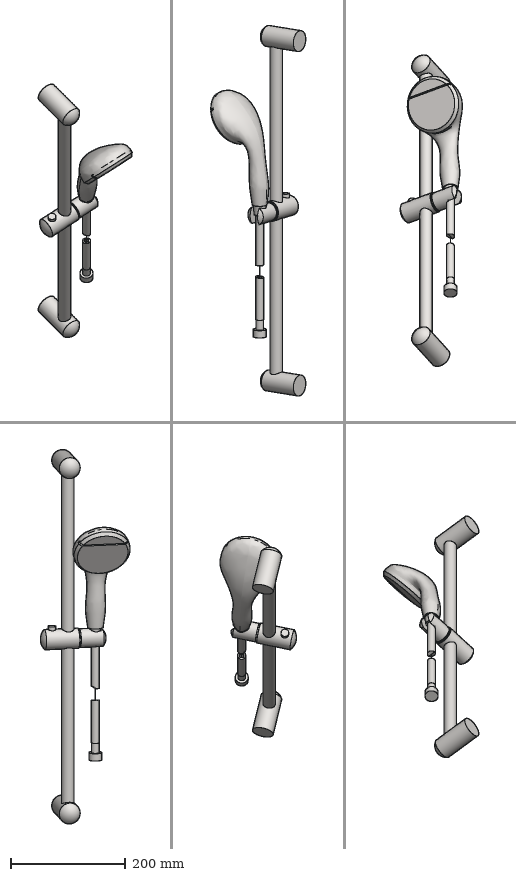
import cadquery as cq
import math

total_height = 657.5
rail_diameter = 22.5
post_diameter = 37.5
wall_x = -50.5
post_dome_start_x = 18.5
post_tip_x = 29.5
post_heights = (post_diameter / 2, total_height - post_diameter / 2)

slider_z = 329.0
slider_diameter = 36.0
slider_front_y = -41.5
slider_tip_y = -48.5
holder_end_y = 62.0
holder_tip_y = 68.5
groove_y = 20.0
groove_width = 2.5
groove_diameter = 31.5
holder_diameter = 33.5
knob_y = -28.0
knob_diameter = 14.0
knob_top_z = 352.5

handset_y = 49.0
hose_slot_width = 16.0
plug_top_diameter = 23.5
plug_bottom_diameter = 20.0
handle_bottom_z = 346.5
head_width = 100.0
rim_back = (81.5, 540.5)
rim_front = (29.5, 455.0)
handset_sections = [
    ((-12.5, handle_bottom_z), (13.0, handle_bottom_z), 27.5),
    ((-15.0, 369.5), (16.5, 369.5), 34.0),
    ((-12.5, 401.0), (19.0, 401.0), 34.0),
    ((-6.0, 440.5), (20.0, 437.0), 35.5),
    ((7.0, 481.0), (23.5, 451.5), 55.0),
    ((31.5, 514.0), (27.0, 455.0), 80.0),
    ((59.0, 538.0), (28.0, 455.5), 97.0),
    (rim_back, rim_front, head_width),
]
face_thickness = 12.5
face_diameter = 90.0
face_edge_thickness = 6.5
face_groove_width = 2.5
face_groove_depth = 10.5
face_groove_offset = 24.0

hose_diameter = 14.5
upper_hose_bottom_z = 238.0
upper_hose_cut_rise = 4.0
lower_hose_top_z = 217.5
lower_hose_cut_drop = 2.5
hose_bore_diameter = 8.0
hose_bore_depth = 6.5
ferrule_top_z = 140.0
ferrule_diameter = 14.0
nut_top_z = 122.0
nut_bottom_z = 109.0
nut_diameter = 23.0
core_diameter = 0.5


def rod(diameter, start_z, end_z, y=0.0):
    """Vertical cylinder on the X = 0 plane."""
    return cq.Workplane("XY", origin=(0, y, start_z)).circle(diameter / 2).extrude(end_z - start_z)


def dome_middle(radius, start, tip):
    """Middle of the dome arc, as (distance along the bar axis, distance from it)."""
    height = abs(tip - start)
    sphere_radius = (radius**2 + height**2) / (2 * height)
    half_angle = math.asin(radius / sphere_radius) / 2
    sagitta = sphere_radius * (1 - math.cos(half_angle))
    return tip - math.copysign(sagitta, tip - start), sphere_radius * math.sin(half_angle)


def make_post(z):
    """Round wall post along X with a domed outer end."""
    radius = post_diameter / 2
    profile = (
        cq.Workplane("XY")
        .moveTo(wall_x, 0)
        .lineTo(wall_x, radius)
        .lineTo(post_dome_start_x, radius)
        .threePointArc(dome_middle(radius, post_dome_start_x, post_tip_x), (post_tip_x, 0))
        .close()
    )
    return profile.revolve(360, (0, 0, 0), (1, 0, 0)).translate((0, 0, z))


def make_slider():
    """Cross bar with rounded ends, a joint groove, a hose slot and a knob."""
    radius = slider_diameter / 2
    front_arc_y, front_arc_x = dome_middle(radius, slider_front_y, slider_tip_y)
    holder_radius = holder_diameter / 2
    holder_arc_y, holder_arc_x = dome_middle(holder_radius, holder_end_y, holder_tip_y)
    half_groove = groove_width / 2
    profile = (
        cq.Workplane("XY")
        .moveTo(0, slider_tip_y)
        .threePointArc((front_arc_x, front_arc_y), (radius, slider_front_y))
        .lineTo(radius, groove_y - half_groove)
        .lineTo(groove_diameter / 2, groove_y - half_groove)
        .lineTo(groove_diameter / 2, groove_y + half_groove)
        .lineTo(holder_radius, groove_y + half_groove)
        .lineTo(holder_radius, holder_end_y)
        .threePointArc((holder_arc_x, holder_arc_y), (0, holder_tip_y))
        .close()
    )
    bar = profile.revolve(360, (0, 0, 0), (0, 1, 0)).translate((0, 0, slider_z))
    slot_length = holder_tip_y - handset_y
    slot = (
        cq.Workplane("XY")
        .box(hose_slot_width, slot_length, slider_diameter, centered=(True, False, True))
        .translate((0, handset_y, slider_z))
    )
    return bar.cut(slot).union(rod(knob_diameter, slider_z, knob_top_z, knob_y))


def tilted_plane(back, front):
    """Plane through two XZ points, with local X running from front to back."""
    center = ((back[0] + front[0]) / 2, handset_y, (back[1] + front[1]) / 2)
    along = (back[0] - front[0], 0, back[1] - front[1])
    normal = (along[2], 0, -along[0])
    return cq.Plane(origin=center, xDir=along, normal=normal)


def make_handset():
    """Handle blending into the tilted head, with its spray face and holder plug."""
    wires = []
    for back, front, width in handset_sections:
        ellipse = cq.Workplane(tilted_plane(back, front)).ellipse(math.dist(back, front) / 2, width / 2)
        wires.append(ellipse.val())
    body = cq.Workplane(obj=cq.Solid.makeLoft(wires))

    rim_plane = tilted_plane(rim_back, rim_front)
    rim_length = math.dist(rim_back, rim_front)
    edge = cq.Workplane(rim_plane).ellipse(rim_length / 2, head_width / 2).extrude(face_edge_thickness)
    face = (
        cq.Workplane(rim_plane)
        .workplane(offset=face_edge_thickness)
        .ellipse(rim_length / 2, head_width / 2)
        .workplane(offset=face_thickness - face_edge_thickness)
        .circle(face_diameter / 2)
        .loft()
    )
    groove = (
        cq.Workplane(rim_plane)
        .workplane(offset=face_thickness - face_groove_depth)
        .center(face_groove_offset, 0)
        .rect(face_groove_width, head_width)
        .extrude(face_groove_depth)
    )
    plug = (
        cq.Workplane("XY", origin=(0, handset_y, slider_z))
        .circle(plug_bottom_diameter / 2)
        .workplane(offset=handle_bottom_z - slider_z)
        .circle(plug_top_diameter / 2)
        .loft()
    )
    return body.union(edge.union(face).cut(groove)).union(plug)


def make_hose():
    """Two hose lengths with slanted broken ends, a ferrule and a nut."""
    radius = hose_diameter / 2
    upper_cut = (
        cq.Workplane("YZ")
        .polyline([
            (handset_y, upper_hose_bottom_z),
            (handset_y - radius, upper_hose_bottom_z),
            (handset_y - radius, upper_hose_bottom_z + upper_hose_cut_rise),
        ])
        .close()
        .extrude(radius, both=True)
    )
    upper = rod(hose_diameter, upper_hose_bottom_z, slider_z, handset_y).cut(upper_cut)

    lower_cut = (
        cq.Workplane("XZ", origin=(0, handset_y, 0))
        .polyline([
            (radius, lower_hose_top_z),
            (-radius, lower_hose_top_z),
            (-radius, lower_hose_top_z - lower_hose_cut_drop),
        ])
        .close()
        .extrude(radius, both=True)
    )
    bore = rod(hose_bore_diameter, lower_hose_top_z - hose_bore_depth, lower_hose_top_z, handset_y)
    lower = rod(hose_diameter, ferrule_top_z, lower_hose_top_z, handset_y).cut(lower_cut).cut(bore)
    ferrule = rod(ferrule_diameter, nut_top_z, ferrule_top_z, handset_y)
    nut = rod(nut_diameter, nut_bottom_z, nut_top_z, handset_y)
    core = rod(core_diameter, ferrule_top_z, slider_z, handset_y)
    return upper.union(lower).union(ferrule).union(nut).union(core)


result = rod(rail_diameter, *post_heights)
for post_z in post_heights:
    result = result.union(make_post(post_z))
result = result.union(make_slider()).union(make_handset()).union(make_hose())